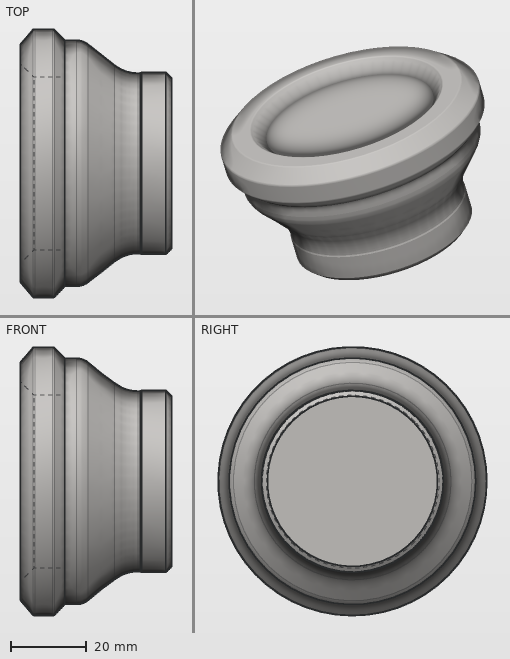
import cadquery as cq
import math

TOTAL_LENGTH = 40.0

RING_RADIUS = 35.45
RING_FRONT_RADIUS = 31.3
RING_MOUTH_RADIUS = 26.3
RING_BEVEL_LENGTH = 3.55
RING_BACK_BEVEL_X = 8.8
RING_EDGE_ROUND = 0.7

FACE_RADIUS = 22.8
FACE_DEPTH = 3.55
SHOULDER_RADIUS = 65.0 / 2
SHOULDER_END_X = 14.75
SHOULDER_ROUND = 4.95
NECK_RADIUS = 47.6 / 2
NECK_START_X = 31.0
NECK_ROUND = 10.0
COLLAR_RADIUS = 48.0 / 2
COLLAR_BEVEL_START_X = 31.6
COLLAR_START_X = 32.05
COLLAR_CHAMFER = 1.55

RING_BACK_X = RING_BACK_BEVEL_X + RING_RADIUS - SHOULDER_RADIUS


def revolve_about_x(profile):
    """Turn a closed half profile, drawn as (x, radius), about the X axis."""
    return profile.close().revolve(360, (0, 0, 0), (1, 0, 0))


def flare_angle():
    """Angle of the straight flank tangent to the shoulder and neck rounds."""
    run = NECK_START_X - SHOULDER_END_X
    drop = SHOULDER_RADIUS - NECK_RADIUS
    round_sum = SHOULDER_ROUND + NECK_ROUND
    rise = round_sum - drop
    centre_distance = math.hypot(run, rise)
    return math.asin(round_sum / centre_distance) - math.atan2(rise, run)


def shoulder_point(angle):
    """Point on the convex shoulder round, measured from its cylinder end."""
    return (
        SHOULDER_END_X + SHOULDER_ROUND * math.sin(angle),
        SHOULDER_RADIUS - SHOULDER_ROUND * (1 - math.cos(angle)),
    )


def neck_point(angle):
    """Point on the concave neck round, measured from its cylinder end."""
    return (
        NECK_START_X - NECK_ROUND * math.sin(angle),
        NECK_RADIUS + NECK_ROUND * (1 - math.cos(angle)),
    )


def make_ring():
    profile = (
        cq.Workplane("XY")
        .moveTo(0, RING_MOUTH_RADIUS)
        .lineTo(0, RING_FRONT_RADIUS)
        .lineTo(RING_BEVEL_LENGTH, RING_RADIUS)
        .lineTo(RING_BACK_BEVEL_X, RING_RADIUS)
        .lineTo(RING_BACK_X, SHOULDER_RADIUS)
        .lineTo(RING_BACK_X, FACE_RADIUS)
        .lineTo(FACE_DEPTH, FACE_RADIUS)
    )
    ring = revolve_about_x(profile)
    front_edges = ring.faces("<X").edges().vals()
    crown_edges = ring.edges(cq.selectors.RadiusNthSelector(-1)).vals()
    return ring.newObject(front_edges + crown_edges).fillet(RING_EDGE_ROUND)


def make_knob():
    flare = flare_angle()
    profile = (
        cq.Workplane("XY")
        .moveTo(FACE_DEPTH, 0)
        .lineTo(FACE_DEPTH, FACE_RADIUS)
        .lineTo(RING_BACK_X, FACE_RADIUS)
        .lineTo(RING_BACK_X, SHOULDER_RADIUS)
        .lineTo(SHOULDER_END_X, SHOULDER_RADIUS)
        .threePointArc(shoulder_point(flare / 2), shoulder_point(flare))
        .lineTo(*neck_point(flare))
        .threePointArc(neck_point(flare / 2), (NECK_START_X, NECK_RADIUS))
        .lineTo(COLLAR_BEVEL_START_X, NECK_RADIUS)
        .lineTo(COLLAR_START_X, COLLAR_RADIUS)
        .lineTo(TOTAL_LENGTH - COLLAR_CHAMFER, COLLAR_RADIUS)
        .lineTo(TOTAL_LENGTH, COLLAR_RADIUS - COLLAR_CHAMFER)
        .lineTo(TOTAL_LENGTH, 0)
    )
    return revolve_about_x(profile)


ring = make_ring()
knob = make_knob()
result = cq.Compound.makeCompound([ring.val(), knob.val()])